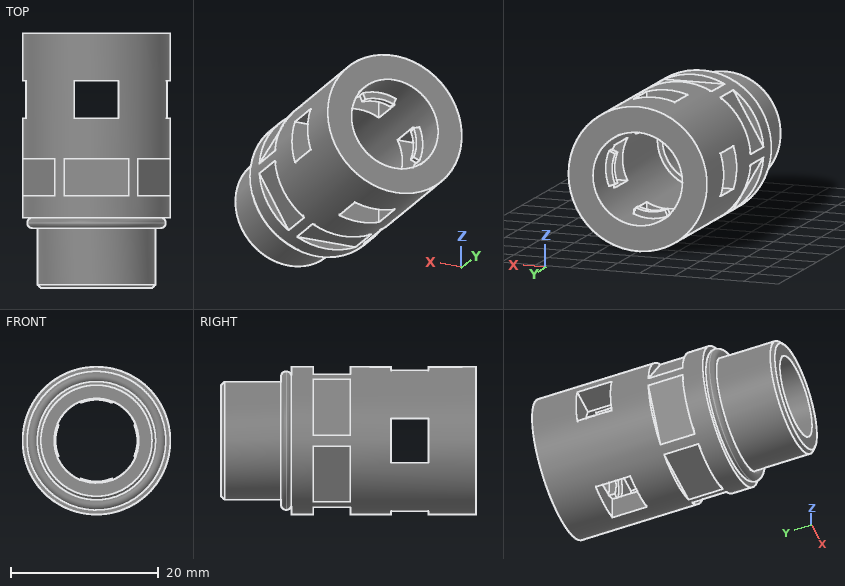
import cadquery as cq

length = 34.5
body_radius = 10.0
spigot_radius = 8.0
spigot_length = 9.52
spigot_chamfer = 0.5
bore_radius = 5.73
socket_radius = 6.45

ring_thickness = 1.45
ring_outer_radius = 9.4
ring_overlap = 0.05

flat_count = 6
flat_distance = 9.0
flat_start = 12.5
flat_length = 5.0

window_start = 23.0
window_length = 5.05
window_width = 5.95

tooth_count = 4
tooth_radius = 5.52
tooth_setback = 0.52
tooth_length = 1.0
tooth_angle = 45.0


def cylinder(radius, start, height):
    """Solid cylinder along Y beginning at Y = start."""
    base = cq.Workplane("XZ", origin=(0, start, 0))
    return base.circle(radius).extrude(-height)


def outer_sleeve():
    """Chamfered spigot joined to the wider body."""
    spigot = cylinder(spigot_radius, 0, length).faces("<Y").chamfer(spigot_chamfer)
    body = cylinder(body_radius, spigot_length, length - spigot_length)
    return spigot.union(body)


def o_ring():
    section_radius = ring_thickness / 2
    center_radius = ring_outer_radius - section_radius
    return (
        cq.Workplane("XY")
        .center(center_radius, spigot_length + ring_overlap - section_radius)
        .circle(section_radius)
        .revolve(360, (-center_radius, 0), (-center_radius, 1))
    )


def wrench_flats():
    """Band of material outside the hexagon, two of whose flats face up and down."""
    band = cylinder(2 * body_radius, flat_start, flat_length)
    hexagon = (
        cq.Workplane("XZ", origin=(0, flat_start, 0))
        .polygon(flat_count, 2 * flat_distance, circumscribed=True)
        .extrude(-flat_length)
        .rotate((0, 0, 0), (0, 1, 0), 180 / flat_count)
    )
    return band.cut(hexagon)


def bore():
    """Through bore, opening into the wider socket at the shoulder."""
    socket = cylinder(socket_radius, spigot_length, length - spigot_length)
    return cylinder(bore_radius, 0, length).union(socket)


def windows():
    """Two crossing slots, along Z and along X, that pierce both walls."""
    slot = cq.Workplane("XY").box(window_width, window_length, 2 * body_radius)
    crossing_slot = slot.rotate((0, 0, 0), (0, 1, 0), 90)
    return slot.union(crossing_slot).translate((0, window_start + window_length / 2, 0))


def latch_teeth():
    """Ring sectors, rooted in the socket wall and centred on the window axes."""
    root_radius = (socket_radius + body_radius) / 2
    tooth_start = window_start + window_length + tooth_setback
    sector = (
        cq.Workplane("XY")
        .center(tooth_radius, tooth_start)
        .rect(root_radius - tooth_radius, tooth_length, centered=False)
        .revolve(tooth_angle, (-tooth_radius, 0), (-tooth_radius, 1))
    )
    teeth = cq.Workplane("XY")
    for index in range(tooth_count):
        turn = index * 360 / tooth_count - tooth_angle / 2
        teeth = teeth.add(sector.rotate((0, 0, 0), (0, 1, 0), turn))
    return teeth.combine()


sleeve = outer_sleeve().union(o_ring())
sleeve = sleeve.cut(wrench_flats())
sleeve = sleeve.cut(bore())
sleeve = sleeve.cut(windows())
result = sleeve.union(latch_teeth())